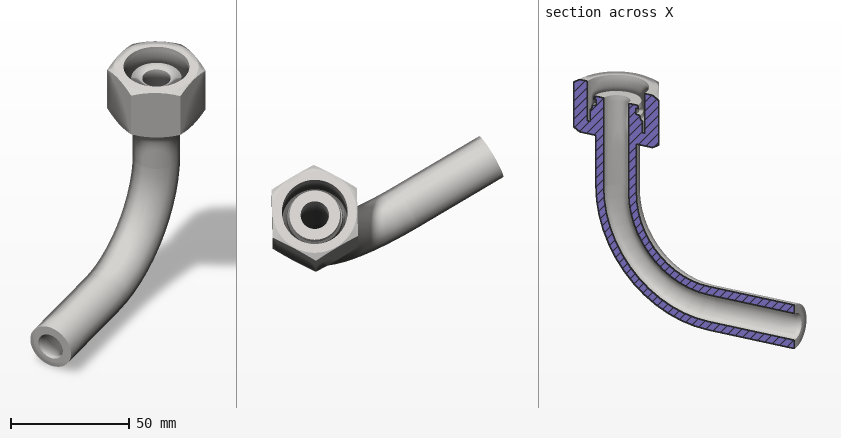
import cadquery as cq
import math

across_flats = 36.0
across_corners = across_flats / math.cos(math.pi / 6)
nut_height = 24.0
nut_face_diameter = 35.5
chamfer_angle = math.radians(30)
bore_diameter = 27.8
bore_depth = 18.0

tube_diameter = 20.0
tube_hole_diameter = 12.0
bend_radius = 44.9
overall_height = 101.5
overall_length = 107.8

head_top_depth = 6.0
head_top_diameter = 21.3
head_shoulder_diameter = 23.9
head_base_diameter = 25.7
head_taper = math.radians(12)
head_shoulder_angle = math.radians(45)
seal_groove_offset = 1.7
seal_groove_width = 2.6
seal_groove_floor_diameter = 19.6

nut_top = overall_height - tube_diameter / 2 - bend_radius
nut_bottom = nut_top - nut_height
bore_floor = nut_top - bore_depth
head_top = nut_top - head_top_depth
tube_end = across_corners / 2 - overall_length


def make_nut():
    """Hexagon with corners on Y, its corners bevelled by a cone at both ends."""
    hexagon = (
        cq.Workplane("XY", origin=(0, 0, nut_bottom))
        .polygon(6, across_corners)
        .extrude(nut_height)
        .rotate((0, 0, 0), (0, 0, 1), 30)
    )
    face_radius = nut_face_diameter / 2
    corner_radius = across_corners / 2
    bevel = (corner_radius - face_radius) * math.tan(chamfer_angle)
    envelope = (
        cq.Workplane("XZ")
        .moveTo(0, nut_bottom)
        .lineTo(face_radius, nut_bottom)
        .lineTo(corner_radius, nut_bottom + bevel)
        .lineTo(corner_radius, nut_top - bevel)
        .lineTo(face_radius, nut_top)
        .lineTo(0, nut_top)
        .close()
        .revolve(360, (0, 0, 0), (0, 1, 0))
    )
    bore = cq.Workplane("XY", origin=(0, 0, bore_floor)).circle(bore_diameter / 2).extrude(bore_depth)
    return hexagon.intersect(envelope).cut(bore)


def make_head():
    """Slender cone with a seal groove and a flatter shoulder, standing on the bore floor."""
    top_radius = head_top_diameter / 2
    shoulder_radius = head_shoulder_diameter / 2
    base_radius = head_base_diameter / 2
    shoulder_z = head_top - (shoulder_radius - top_radius) / math.tan(head_taper)
    base_z = shoulder_z - (base_radius - shoulder_radius) / math.tan(head_shoulder_angle)
    cone = (
        cq.Workplane("XZ")
        .moveTo(0, bore_floor)
        .lineTo(base_radius, bore_floor)
        .lineTo(base_radius, base_z)
        .lineTo(shoulder_radius, shoulder_z)
        .lineTo(top_radius, head_top)
        .lineTo(0, head_top)
        .close()
        .revolve(360, (0, 0, 0), (0, 1, 0))
    )
    groove = (
        cq.Workplane("XY", origin=(0, 0, head_top - seal_groove_offset))
        .circle(base_radius)
        .circle(seal_groove_floor_diameter / 2)
        .extrude(-seal_groove_width)
    )
    return cone.cut(groove)


def bent_rod(diameter, upright_length):
    """Round rod with an upright stretch, continuing around the 90 degree bend, to the free tube end."""
    radius = diameter / 2
    upright = cq.Workplane("XY").circle(radius).extrude(upright_length)
    bend = cq.Workplane("XY").circle(radius).revolve(90, (0, -bend_radius, 0), (-1, -bend_radius, 0))
    outlet = (
        cq.Workplane("XZ", origin=(0, -bend_radius, -bend_radius))
        .circle(radius)
        .extrude(-bend_radius - tube_end)
    )
    return upright.union(bend).union(outlet)


body = make_nut().union(make_head()).union(bent_rod(tube_diameter, bore_floor))
result = body.cut(bent_rod(tube_hole_diameter, head_top))